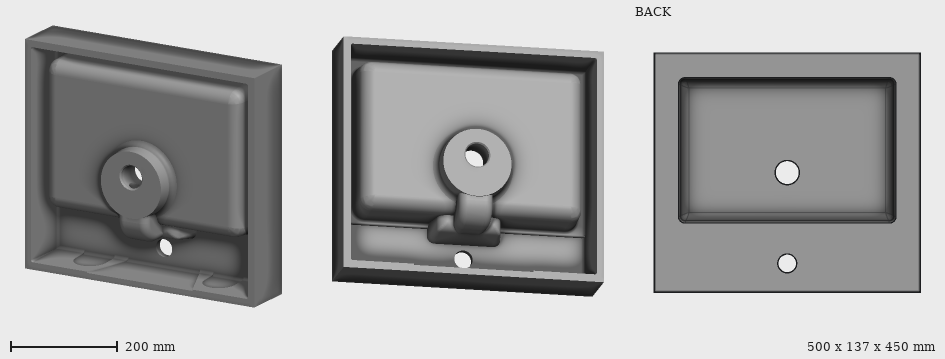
import cadquery as cq
import math


width = 500.0
height = 450.0
total_depth = 137.0
body_depth = 105.0
rim_edge_radius = 2.5

wall = 13.5
bottom_wall = 14.5
underside_draft = 3.0
underside_corner_radius = 4.0
ledge_thickness = 14.0
ledge_floor = body_depth - ledge_thickness
floor_radius = 6.0
step_height = 6.0
step_radius = 3.0
upper_floor = ledge_floor - step_height
ledge_top = -115.5

bowl_width = 433.0
bowl_top = 190.5
bowl_bottom = -107.0
bowl_floor = 7.5
bowl_draft = 4.0
bowl_corner_radius = 25.0
bowl_edge_radius = 25.0
bowl_root_radius = 5.0
plate_margin = 7.5
bowl_inner_radius = 15.0

boss_z = -15.0
boss_base_radius = 68.0
boss_face_radius = 65.5
boss_face = body_depth - total_depth
boss_flare_width = 9.0
boss_flare_end = -6.5
drain_radius = 22.5
drain_mouth_chamfer = 2.5
bore_y = -13.0
bore_radius = 13.0
bore_end = -80.0
tap_z = -170.5
tap_radius = 17.5

hump_width = 65.0
hump_front = -30.0
hump_bottom = -133.5
hump_bend_radius = 45.0
hump_edge_radius = 15.0
skirt_width = 147.0
skirt_bottom = -146.0
skirt_top = -75.0
skirt_front = 30.0
skirt_draft = 12.0
skirt_corner_radius = 17.5
skirt_edge_radius = 20.0

recess_depth = 2.5
recess_reach = 50.0
panel_half_width_front = 115.0
panel_half_width_back = 78.0
arch_x = 140.5
arch_radius = 33.0
arch_center_y = 58.5


def prism(y_start, y_end, size_x, z_low, z_high, draft, corner_radius):
    """Rounded rectangular block that narrows by the draft angle from y_start to y_end."""
    direction = 1 if y_end > y_start else -1
    plane = cq.Plane(origin=(0, y_start, (z_low + z_high) / 2), xDir=(1, 0, 0), normal=(0, direction, 0))
    outline = cq.Sketch().rect(size_x, z_high - z_low).vertices().fillet(corner_radius)
    return cq.Workplane(plane).placeSketch(outline).extrude(abs(y_end - y_start), taper=draft)


def cylinder(radius, z, y_start, y_end):
    """Cylinder along Y centred on x = 0."""
    return cq.Workplane("XZ", origin=(0, y_end, z)).circle(radius).extrude(y_end - y_start)


def outer_body():
    block = cq.Workplane("XY").box(width, body_depth, height).translate((0, body_depth / 2, 0))
    return block.faces(">Y").edges().fillet(rim_edge_radius)


def wall_hollow(floor):
    """Space between the four drafted walls, from the rim plane down to a floor with rounded edges."""
    block = prism(
        0, floor, width - 2 * wall, bottom_wall - height / 2, height / 2 - wall,
        underside_draft, underside_corner_radius,
    )
    return block.faces(">Y").edges().fillet(floor_radius)


def upper_block(y_start, z_low):
    """Box that covers everything above z_low and behind y_start."""
    block = cq.Workplane("XY").box(width, body_depth, height, centered=(True, False, False))
    return block.translate((0, y_start, z_low))


def underside():
    """Hollow behind the walls: deep over the tap ledge, one step shallower around the bowl."""
    step = upper_block(upper_floor, ledge_top).edges("|X and <Y and <Z").fillet(step_radius)
    upper_walls = upper_block(0, ledge_top + step_radius).cut(wall_hollow(upper_floor))
    return wall_hollow(ledge_floor).cut(step).cut(upper_walls)


def wall_recesses():
    """Central tapering panel and two arched panels sunk into the inner face of the bottom wall."""
    base = cq.Workplane("XY", origin=(0, 0, -height / 2))
    panel_points = [
        (-panel_half_width_front, 0),
        (panel_half_width_front, 0),
        (panel_half_width_back, ledge_floor),
        (-panel_half_width_back, ledge_floor),
    ]
    panels = base.polyline(panel_points).close().extrude(recess_reach)
    for side in (-1, 1):
        left = side * arch_x - arch_radius
        right = side * arch_x + arch_radius
        arch = (
            base.moveTo(left, ledge_floor)
            .lineTo(left, arch_center_y)
            .threePointArc((side * arch_x, arch_center_y - arch_radius), (right, arch_center_y))
            .lineTo(right, ledge_floor)
            .close()
            .extrude(recess_reach)
        )
        panels = panels.union(arch)
    return wall_hollow(ledge_floor).translate((0, 0, -recess_depth)).intersect(panels)


def bowl_outside():
    """Outside of the bowl, blended into a plate that lies inside the upper floor."""
    bowl = prism(
        upper_floor, bowl_floor, bowl_width, bowl_bottom, bowl_top, bowl_draft, bowl_corner_radius
    )
    bowl = bowl.faces("<Y").edges().fillet(bowl_edge_radius)
    plate_bottom = ledge_top + step_radius
    plate_top = bowl_top + plate_margin
    plate = (
        cq.Workplane("XY")
        .box(bowl_width + 2 * plate_margin, body_depth - upper_floor, plate_top - plate_bottom,
             centered=(True, False, False))
        .translate((0, upper_floor, plate_bottom))
    )
    margin = plate_margin / 2
    root_edges = cq.selectors.BoxSelector(
        (-bowl_width / 2 - margin, upper_floor - margin, bowl_bottom - margin),
        (bowl_width / 2 + margin, upper_floor + margin, bowl_top + margin),
        boundingbox=True,
    )
    return plate.union(bowl).edges(root_edges).fillet(bowl_root_radius)


def bowl_inside():
    """Basin cavity that keeps an even wall inside the bowl and opens through the rim face."""
    growth = (body_depth - upper_floor) * math.tan(math.radians(bowl_draft))
    inset = wall - growth
    cavity = prism(
        body_depth, bowl_floor + wall, bowl_width - 2 * inset, bowl_bottom + inset, bowl_top - inset,
        bowl_draft, bowl_corner_radius - inset,
    )
    return cavity.faces("<Y").edges().fillet(bowl_inner_radius)


def drain_boss():
    """Conical boss with a concave flare where it leaves the bowl floor."""
    flare_foot = boss_base_radius + boss_flare_width
    flare_height = bowl_floor - boss_flare_end
    bow = 1 - math.sqrt(0.5)
    flare_middle = (boss_base_radius + bow * boss_flare_width, bowl_floor - bow * flare_height)
    profile = (
        cq.Workplane("XY")
        .moveTo(0, bowl_floor + wall)
        .lineTo(flare_foot, bowl_floor + wall)
        .lineTo(flare_foot, bowl_floor)
        .threePointArc(flare_middle, (boss_base_radius, boss_flare_end))
        .lineTo(boss_face_radius, boss_face)
        .lineTo(0, boss_face)
        .close()
    )
    return profile.revolve(360, (0, 0, 0), (0, 1, 0)).translate((0, 0, boss_z))


def overflow_hump():
    """Bent duct from the boss down to the ledge, with a flared skirt at its foot."""
    duct = (
        cq.Workplane("XY")
        .box(hump_width, body_depth - hump_front, boss_z - hump_bottom, centered=(True, False, False))
        .translate((0, hump_front, hump_bottom))
    )
    duct = duct.edges("|X and <Y and <Z").fillet(hump_bend_radius)
    duct = duct.faces("<X or >X").edges("<Y or <Z or (not(|Y or |Z))").fillet(hump_edge_radius)
    skirt = prism(
        body_depth, skirt_front, skirt_width, skirt_bottom, skirt_top, skirt_draft, skirt_corner_radius
    )
    return duct.union(skirt.faces("<Y").edges().fillet(skirt_edge_radius))


def drain_hole():
    """Through hole that flares into a small chamfer at the boss face."""
    mouth = (
        cq.Workplane("XZ", origin=(0, boss_face + drain_mouth_chamfer, 0))
        .circle(drain_radius)
        .extrude(drain_mouth_chamfer, taper=-45)
    )
    return cylinder(drain_radius, 0, boss_face, body_depth).union(mouth)


def overflow_bore():
    """Blind bore that leads from the drain down into the hump."""
    return cq.Workplane("XY", origin=(0, bore_y, bore_end)).circle(bore_radius).extrude(-bore_end)


result = outer_body().cut(underside()).cut(wall_recesses())
result = result.union(bowl_outside()).union(drain_boss()).union(overflow_hump())
result = result.cut(bowl_inside())
result = result.cut(drain_hole())
result = result.cut(cylinder(tap_radius, tap_z, 0, body_depth))
result = result.cut(overflow_bore())